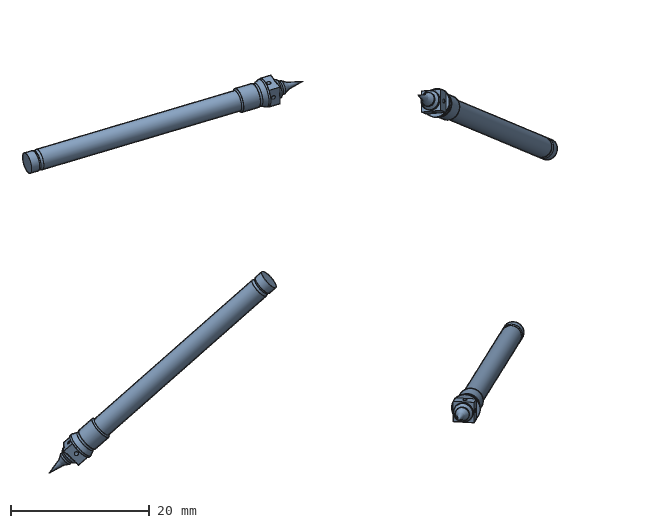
import cadquery as cq

LENGTH = 44.1
TIP_Y = LENGTH / 2
FLANGE_DIAMETER = 4.2

NOSE_RADIUS = 0.55
STEP_RADIUS = 1.0
SHOULDER_RADIUS = 1.4
BODY_RADIUS = 1.55
FLANGE_RADIUS = FLANGE_DIAMETER / 2
NECK_RADIUS = 1.7
COLLAR_RADIUS = 1.8
TAIL_GROOVE_RADIUS = 1.4

NOSE_END = 2.43
CONE_END = 3.25
STEP_END = 3.57
FLARE_END = 4.0
BLOCK_START = 4.4
FLANGE_START = 6.15
FLANGE_END = 6.45
NECK_START = 7.25
COLLAR_START = 7.65
COLLAR_END = 10.3
TAIL_TAPER_START = 42.15
TAIL_GROOVE_START = 42.55
TAIL_GROOVE_END = 42.8

COLLAR_CHAMFER = 0.2

BLOCK_WIDTH = 2 * BODY_RADIUS

DIMPLE_FROM_TIP = 5.45
DIMPLE_RADIUS = 0.3
DIMPLE_DEPTH = 0.1


def along(distance):
    """Y position of a point the given distance back from the tip."""
    return TIP_Y - distance


def turned_body():
    """Revolve the outline about the Y axis: pointed nose, flange, collar, shaft and grooved tail."""
    head_and_shaft = [
        (NOSE_RADIUS, NOSE_END),
        (STEP_RADIUS, CONE_END),
        (STEP_RADIUS, STEP_END),
        (SHOULDER_RADIUS, FLARE_END),
        (SHOULDER_RADIUS, FLANGE_START),
        (FLANGE_RADIUS, FLANGE_START),
        (FLANGE_RADIUS, FLANGE_END),
        (NECK_RADIUS, NECK_START),
        (NECK_RADIUS, COLLAR_START),
        (COLLAR_RADIUS, COLLAR_START),
        (COLLAR_RADIUS, COLLAR_END),
        (BODY_RADIUS + COLLAR_CHAMFER, COLLAR_END),
        (BODY_RADIUS, COLLAR_END + COLLAR_CHAMFER),
        (BODY_RADIUS, TAIL_TAPER_START),
        (TAIL_GROOVE_RADIUS, TAIL_GROOVE_START),
    ]
    profile = cq.Workplane("XY").moveTo(0, along(0))
    for radius, distance in head_and_shaft:
        profile = profile.lineTo(radius, along(distance))
    floor_direction = cq.Vector(0, -1)
    wall = cq.Edge.makeTangentArc(
        cq.Vector(TAIL_GROOVE_RADIUS, along(TAIL_GROOVE_START)),
        floor_direction,
        cq.Vector(BODY_RADIUS, along(TAIL_GROOVE_END)),
    )
    middle = wall.positionAt(0.5)
    return (
        profile.threePointArc((middle.x, middle.y), (BODY_RADIUS, along(TAIL_GROOVE_END)))
        .lineTo(BODY_RADIUS, along(LENGTH))
        .lineTo(0, along(LENGTH))
        .close()
        .revolve(360, (0, 0), (0, 1))
    )


def block():
    """Square block between the shoulder and the flange."""
    block_length = FLANGE_START - BLOCK_START
    middle = along(BLOCK_START + block_length / 2)
    return cq.Workplane("XY").box(BLOCK_WIDTH, block_length, BLOCK_WIDTH).translate((0, middle, 0))


def dimples():
    """Shallow spherical hollows, one in each of the four flats of the block."""
    ball_radius = (DIMPLE_RADIUS**2 + DIMPLE_DEPTH**2) / (2 * DIMPLE_DEPTH)
    ball_height = BLOCK_WIDTH / 2 - DIMPLE_DEPTH + ball_radius
    ball = cq.Workplane("XY").sphere(ball_radius).translate((0, along(DIMPLE_FROM_TIP), ball_height))
    balls = cq.Workplane("XY")
    for quarter in range(4):
        balls = balls.add(ball.rotate((0, 0, 0), (0, 1, 0), 90 * quarter))
    return balls.combine()


result = turned_body().union(block()).cut(dimples())